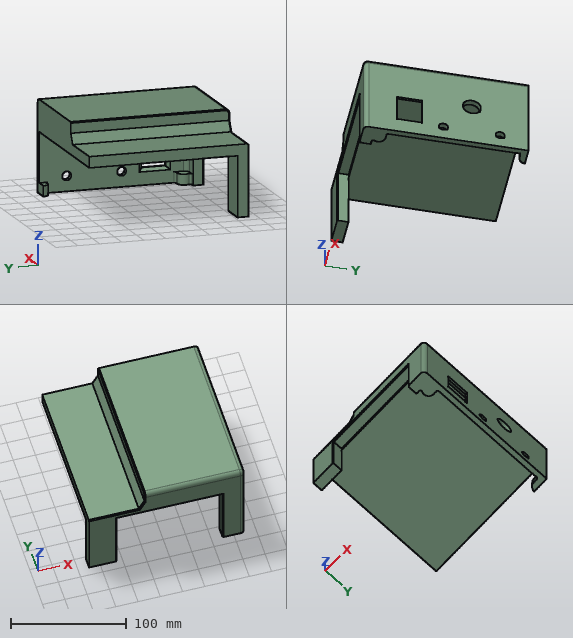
import cadquery as cq
import math

WIDTH = 140.0
DEPTH = 145.0
HEIGHT = 84.0

WALL = 10.0
SHELF_TOP = 65.0
ROOF_UNDERSIDE = SHELF_TOP - WALL
SIDE_WALL = 5.1
CAVITY_WIDTH = WIDTH - SIDE_WALL

SLOPE_START_X = 45.0
STEP_X = 50.0
SLOPE_TOP = 74.0

OUTER_RADIUS = 4.0
INNER_RADIUS = 4.0
EDGE_BREAK = 1.0

DOOR_LEFT = 25.1
DOOR_RIGHT = WIDTH - 2 * WALL
DOOR_TOP = 59.0

SMALL_HOLE_DIAMETER = 8.0
LARGE_HOLE_DIAMETER = 16.0
HOLE_GROUP_Y = 95.0
SMALL_HOLE_SPACING = 50.0
SMALL_HOLE_Z = 13.9
LARGE_HOLE_Z = 44.0
WINDOW_Y = 40.0
WINDOW_Z = 28.9
WINDOW_WIDTH = 22.0
WINDOW_HEIGHT = 27.5
WINDOW_CHAMFER = 3.0

POST_RADIUS = 6.0
POST_HEIGHT = 9.7
POST_OFFSET = 5.0
POST_X = CAVITY_WIDTH - POST_OFFSET
FRONT_POST_Y = 15.1
BACK_POST_Y = DEPTH
BLEND_RADIUS = 1.5
BLEND_REACH = POST_RADIUS + BLEND_RADIUS

MARGIN = 0.1


def edges_inside(body, low, high):
    """Edges lying wholly inside the box from low to high, with a little slack."""
    low_corner = tuple(value - MARGIN for value in low)
    high_corner = tuple(value + MARGIN for value in high)
    return body.edges(cq.selectors.BoxSelector(low_corner, high_corner, boundingbox=True))


def make_block():
    """Stepped solid with rounded outer edges and a broken edge along the step."""
    block = (
        cq.Workplane("XZ")
        .moveTo(0, 0)
        .lineTo(WIDTH, 0)
        .lineTo(WIDTH, HEIGHT)
        .lineTo(STEP_X, HEIGHT)
        .lineTo(STEP_X, SLOPE_TOP)
        .lineTo(SLOPE_START_X, SHELF_TOP)
        .lineTo(0, SHELF_TOP)
        .close()
        .extrude(-DEPTH)
    )
    right_top = edges_inside(block, (WIDTH, 0, HEIGHT), (WIDTH, DEPTH, HEIGHT))
    right_front = edges_inside(block, (WIDTH, 0, 0), (WIDTH, 0, HEIGHT))
    front_top = edges_inside(block, (STEP_X, 0, HEIGHT), (WIDTH, 0, HEIGHT))
    block = right_top.add(right_front).add(front_top).fillet(OUTER_RADIUS)

    front_outline = edges_inside(block, (0, 0, SHELF_TOP), (STEP_X, OUTER_RADIUS, HEIGHT))
    step_top = edges_inside(block, (STEP_X, 0, HEIGHT), (STEP_X, DEPTH, HEIGHT))
    return front_outline.add(step_top).chamfer(EDGE_BREAK)


def make_cavity():
    """Space under the roof, open to the left, back and bottom."""
    cavity = cq.Workplane("XY").box(
        CAVITY_WIDTH, DEPTH - WALL, ROOF_UNDERSIDE, centered=False
    ).translate((0, WALL, 0))
    corner = edges_inside(cavity, (CAVITY_WIDTH, WALL, 0), (CAVITY_WIDTH, WALL, ROOF_UNDERSIDE))
    return corner.fillet(INNER_RADIUS)


def make_doorway():
    """Opening through the front wall, flared at the outer face."""
    width = DOOR_RIGHT - DOOR_LEFT
    opening = cq.Workplane("XY").box(width, WALL, DOOR_TOP, centered=False)
    flare = (
        cq.Workplane("XZ")
        .center(width / 2, 0)
        .rect(width + 2 * EDGE_BREAK, 2 * (DOOR_TOP + EDGE_BREAK))
        .workplane(offset=-EDGE_BREAK)
        .rect(width, 2 * DOOR_TOP)
        .loft()
    )
    return opening.union(flare).translate((DOOR_LEFT, 0, 0))


def make_window():
    """Rectangular opening through the right wall, chamfered on the inside."""
    flare = 2 * WINDOW_CHAMFER
    through = cq.Workplane("YZ").rect(WINDOW_WIDTH, WINDOW_HEIGHT).extrude(SIDE_WALL)
    chamfer = (
        cq.Workplane("YZ")
        .rect(WINDOW_WIDTH + flare, WINDOW_HEIGHT + flare)
        .workplane(offset=WINDOW_CHAMFER)
        .rect(WINDOW_WIDTH, WINDOW_HEIGHT)
        .loft()
    )
    return through.union(chamfer).translate((CAVITY_WIDTH, WINDOW_Y, WINDOW_Z))


def make_wall_hole(y, z, diameter):
    """Round hole through the right wall."""
    wall_face = cq.Workplane("YZ", origin=(CAVITY_WIDTH, 0, 0))
    return wall_face.center(y, z).circle(diameter / 2).extrude(SIDE_WALL)


def make_post(y):
    """Post with a round nose and a straight neck running back to the right wall."""
    nose = cq.Workplane("XY").center(POST_X, y).circle(POST_RADIUS).extrude(POST_HEIGHT)
    neck_center_x = (POST_X + CAVITY_WIDTH) / 2
    neck = cq.Workplane("XY").center(neck_center_x, y).rect(POST_OFFSET, 2 * POST_RADIUS)
    return nose.union(neck.extrude(POST_HEIGHT))


def make_web(outline, blend_x, blend_y):
    """Corner filling between a post and a wall, hollowed by a concave blend arc."""
    web = cq.Workplane("XY").polyline(outline).close().extrude(POST_HEIGHT)
    hollow = cq.Workplane("XY").center(blend_x, blend_y).circle(BLEND_RADIUS).extrude(POST_HEIGHT)
    return web.cut(hollow)


def make_side_web(post_y, side):
    """Web from a post neck to the right wall, on its front (-1) or back (1) side."""
    blend_x = CAVITY_WIDTH - BLEND_RADIUS
    neck_y = post_y + side * POST_RADIUS
    blend_y = post_y + side * BLEND_REACH
    outline = [(blend_x, neck_y), (blend_x, blend_y), (CAVITY_WIDTH, blend_y), (CAVITY_WIDTH, neck_y)]
    return make_web(outline, blend_x, blend_y)


def make_front_web(post_y):
    """Web from a post nose to the front wall, filling the corner behind it."""
    blend_y = WALL + BLEND_RADIUS
    blend_x = POST_X - math.sqrt(BLEND_REACH**2 - (post_y - blend_y) ** 2)
    outline = [
        (POST_X, post_y),
        (blend_x, blend_y),
        (blend_x, WALL),
        (CAVITY_WIDTH, WALL),
        (CAVITY_WIDTH, post_y),
    ]
    return make_web(outline, blend_x, blend_y)


def make_posts():
    """Front post joined to both walls and back post cut flush with the back face."""
    posts = (
        make_post(FRONT_POST_Y)
        .union(make_front_web(FRONT_POST_Y))
        .union(make_side_web(FRONT_POST_Y, 1))
        .union(make_post(BACK_POST_Y))
        .union(make_side_web(BACK_POST_Y, -1))
    )
    return posts.intersect(cq.Workplane("XY").box(WIDTH, DEPTH, HEIGHT, centered=False))


result = make_block().cut(make_cavity()).cut(make_doorway()).cut(make_window())
result = result.cut(make_wall_hole(HOLE_GROUP_Y, LARGE_HOLE_Z, LARGE_HOLE_DIAMETER))
for side in (-1, 1):
    hole_y = HOLE_GROUP_Y + side * SMALL_HOLE_SPACING / 2
    result = result.cut(make_wall_hole(hole_y, SMALL_HOLE_Z, SMALL_HOLE_DIAMETER))
result = result.union(make_posts())